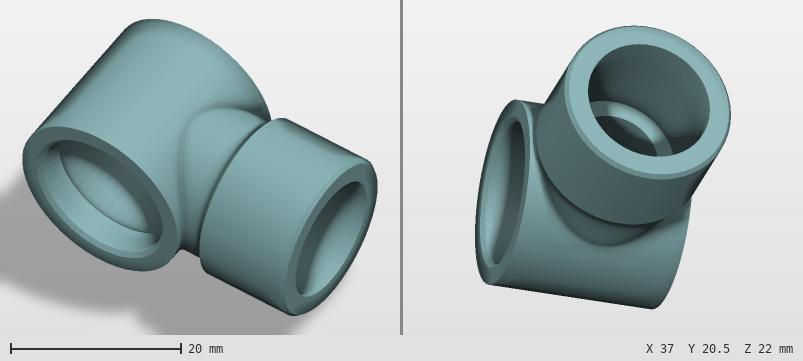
import cadquery as cq
import math

ring_diameter = 22.0
ring_length = 20.0
ring_bore = 17.0
ring_bore_mouth = 18.0
groove_diameter = 18.0
groove_inset = 4.0
groove_length = ring_length - 2 * groove_inset
ring_bore_chamfer = (ring_bore_mouth - ring_bore) / 2

overall_length = 37
branch_end = overall_length - ring_diameter / 2
neck_diameter = 18.0
collar_diameter = 20.5
collar_length = 11.75
collar_start = branch_end - collar_length
shoulder_angle = 57
shoulder_height = (collar_diameter - neck_diameter) / 2
shoulder_start = collar_start - shoulder_height / math.tan(math.radians(shoulder_angle))
end_chamfer_length = 0.5
end_chamfer_depth = 0.4
root_fillet = 0.5
neck_fillet = 0.5

port_diameter = 11.0
socket_diameter = 15.0
socket_depth = 14.17

tolerance = 0.005


def cylinder_along_x(diameter, start, end):
    return cq.Workplane("YZ", origin=(start, 0, 0)).circle(diameter / 2).extrude(end - start)


def cylinder_along_y(diameter, length):
    return cq.Workplane("XZ").circle(diameter / 2).extrude(length / 2, both=True)


def make_branch():
    """Revolve the neck, sloping shoulder and collar about the X axis."""
    neck_radius = neck_diameter / 2
    collar_radius = collar_diameter / 2
    return (
        cq.Workplane("XY")
        .lineTo(0, neck_radius)
        .lineTo(shoulder_start, neck_radius)
        .lineTo(collar_start, collar_radius)
        .lineTo(branch_end - end_chamfer_length, collar_radius)
        .lineTo(branch_end, collar_radius - end_chamfer_depth)
        .lineTo(branch_end, 0)
        .close()
        .revolve(360, (0, 0, 0), (1, 0, 0))
    )


def at_shoulder_root(edge):
    box = edge.BoundingBox()
    return abs(box.xmin - shoulder_start) < tolerance and abs(box.xmax - shoulder_start) < tolerance


def at_ring_junction(edge):
    box = edge.BoundingBox()
    return 0 < box.xmin and box.xmax < ring_diameter / 2 + tolerance and box.ylen < neck_diameter + tolerance


def fillet_where(body, condition, radius):
    edges = [edge for edge in body.edges().vals() if condition(edge)]
    return body.newObject(edges).fillet(radius)


body = cylinder_along_y(ring_diameter, ring_length).union(make_branch())
body = fillet_where(body, at_shoulder_root, neck_fillet)
body = fillet_where(body, at_ring_junction, root_fillet)

bore = cylinder_along_y(ring_bore, ring_length)
for direction in (-1, 1):
    mouth = (
        cq.Workplane("XZ", origin=(0, direction * ring_length / 2, 0))
        .circle(ring_bore_mouth / 2)
        .workplane(offset=direction * ring_bore_chamfer)
        .circle(ring_bore / 2)
        .loft()
    )
    bore = bore.union(mouth)

groove = cylinder_along_y(groove_diameter, groove_length)

port = cylinder_along_x(port_diameter, 0, branch_end)
socket = cylinder_along_x(socket_diameter, branch_end - socket_depth, branch_end)

result = body.cut(bore).cut(groove).cut(port).cut(socket)